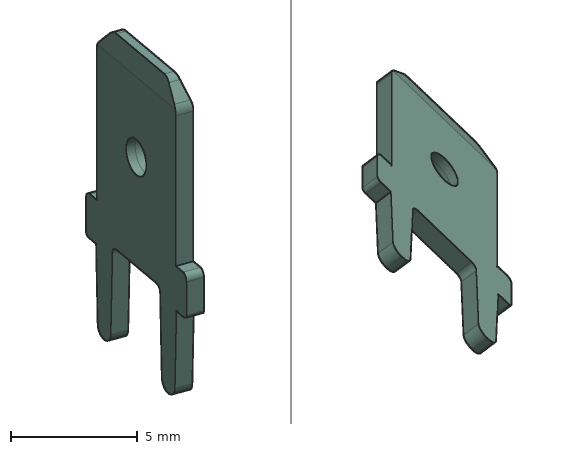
import cadquery as cq

height = 14.0
width = 8.0
thickness = 0.8

blade_width = 6.3
corner_chamfer = 1.0
corner_radius = 0.6
hole_diameter = 1.6
hole_height = 9.4
tip_thickness = 0.45
bevel_height = 1.0

shoulder_bottom = 3.99
shoulder_top = 5.99
shoulder_top_radius = 0.3
shoulder_bottom_radius = 0.2

leg_spacing = 5.1
leg_tip_width = 1.02
leg_root_width = 1.3
leg_tip_radius = 0.49
slot_top = 4.5
slot_radius = 0.3

overlap = 0.7


def make_blade():
    """Upright blade with chamfered, rounded top corners."""
    bottom = shoulder_top - overlap
    blade_height = height - bottom
    blade = cq.Workplane("XY").box(
        blade_width, thickness, blade_height, centered=(True, True, False)
    )
    blade = blade.edges("|Y and >Z").chamfer(corner_chamfer)
    blade = blade.translate((0, 0, bottom))
    above_shoulders = cq.selectors.BoxSelector(
        (-width, -thickness, shoulder_top), (width, thickness, height + overlap)
    )
    return blade.edges("|Y").edges(above_shoulders).fillet(corner_radius)


def make_shoulders():
    """Cross bar joining the blade to the legs, above the slot between the legs."""
    bar = (
        cq.Workplane("XY")
        .box(width, thickness, shoulder_top - shoulder_bottom, centered=(True, True, False))
        .translate((0, 0, shoulder_bottom))
    )
    bar = bar.edges("|Y and >Z").fillet(shoulder_top_radius)
    return bar.edges("|Y and <Z").fillet(shoulder_bottom_radius)


def leg_half_width(z):
    """Half the leg width at height z, on its straight taper."""
    growth = (leg_root_width - leg_tip_width) / shoulder_bottom
    return (leg_tip_width + growth * z) / 2


def make_leg(side):
    """Tapered leg with a rounded tip; side is -1 or 1."""
    x = side * leg_spacing / 2
    tip = leg_half_width(0)
    root_z = shoulder_bottom
    root = leg_half_width(root_z)
    leg = (
        cq.Workplane("XZ")
        .polyline([(x - tip, 0), (x + tip, 0), (x + root, root_z), (x - root, root_z)])
        .close()
        .extrude(thickness / 2, both=True)
    )
    return leg.edges("|Y and <Z").fillet(leg_tip_radius)


def make_slot():
    """Opening between the legs, following their inner flanks."""
    top = leg_spacing / 2 - leg_half_width(slot_top)
    bottom = leg_spacing / 2 - leg_half_width(shoulder_bottom)
    slot = (
        cq.Workplane("XZ")
        .polyline([
            (-bottom, shoulder_bottom),
            (bottom, shoulder_bottom),
            (top, slot_top),
            (-top, slot_top),
        ])
        .close()
        .extrude(thickness, both=True)
    )
    return slot.edges("|Y and >Z").fillet(slot_radius)


def make_bevel(side):
    """Wedge that thins one face of the blade toward its top edge."""
    face = side * thickness / 2
    return (
        cq.Workplane("YZ")
        .polyline([
            (face, height - bevel_height),
            (face, height),
            (side * tip_thickness / 2, height),
        ])
        .close()
        .extrude(width / 2, both=True)
    )


result = make_shoulders().union(make_blade()).cut(make_slot())
for side in (-1, 1):
    result = result.union(make_leg(side))
    result = result.cut(make_bevel(side))

hole = (
    cq.Workplane("XZ")
    .center(0, hole_height)
    .circle(hole_diameter / 2)
    .extrude(thickness, both=True)
)
result = result.cut(hole)